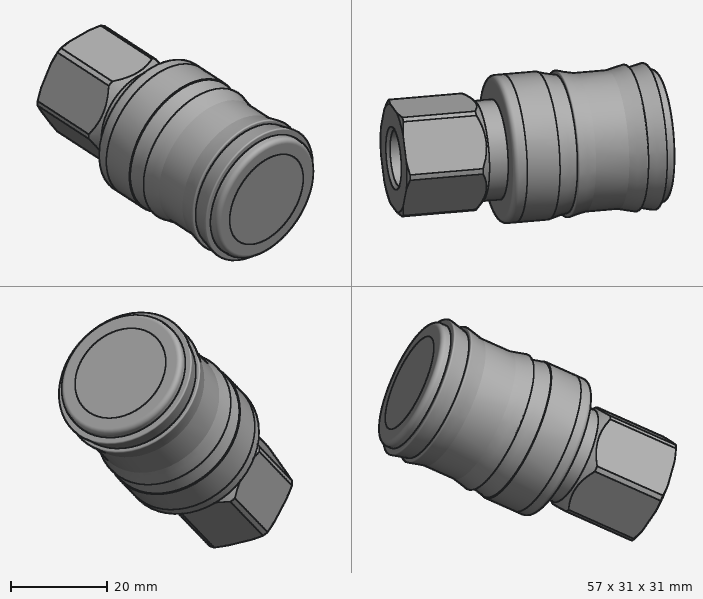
import cadquery as cq
import math

length = 57.0
shoulder_x = 21.95
collar_x = 24.8
grip_x = 31.8
nose_x = 54.9

across_flats = 21.95
across_corners = 24.7
hex_face_dia = 22.65
hex_face_chamfer = 0.45
stem_dia = 21.0
neck_x = 17.95
bore_dia = 11.8
bore_mouth_dia = 13.2
bore_chamfer = 0.75
bore_depth = neck_x

collar_dia = 31.0
shoulder_fillet = 1.1

grip_dia = 29.0
tooth_dia = 30.9
tooth_pitch = 4.0
tooth_fillet = 0.3

nose_dia = 28.0
nose_fillet = 1.0


def revolve_about_x(points):
    """Solid of revolution about X from a closed outline of (x, radius) points."""
    return cq.Workplane("XY").polyline(points).close().revolve(360, (0, 0, 0), (1, 0, 0))


def make_ring(start_x, end_x, outer_dia):
    """Plain ring that fits on the stem."""
    return (
        cq.Workplane("YZ", origin=(start_x, 0, 0))
        .circle(outer_dia / 2)
        .circle(stem_dia / 2)
        .extrude(end_x - start_x)
    )


def make_hexagon():
    """Hexagon with a flat on top, its corners turned down and both ends chamfered."""
    circumscribed_dia = across_flats / math.cos(math.pi / 6)
    hexagon = cq.Workplane("YZ").polygon(6, circumscribed_dia).extrude(neck_x)
    corner_radius = across_corners / 2
    stem_radius = stem_dia / 2
    rear_chamfer = corner_radius - stem_radius
    turned_blank = revolve_about_x(
        [
            (0, 0),
            (0, hex_face_dia / 2),
            (hex_face_chamfer, corner_radius),
            (neck_x - rear_chamfer, corner_radius),
            (neck_x, stem_radius),
            (neck_x, 0),
        ]
    )
    return hexagon.intersect(turned_blank)


def make_adapter():
    """Hexagon and the stem that carries the rings, with a blind bore."""
    stem = cq.Workplane("YZ", origin=(neck_x, 0, 0)).circle(stem_dia / 2).extrude(length - neck_x)
    bore = revolve_about_x(
        [
            (0, 0),
            (0, bore_mouth_dia / 2),
            (bore_chamfer, bore_dia / 2),
            (bore_depth, bore_dia / 2),
            (bore_depth, 0),
        ]
    )
    return make_hexagon().union(stem).cut(bore)


def make_shoulder_ring():
    """Ring behind the neck with a rounded outer edge."""
    ring = make_ring(shoulder_x, collar_x, collar_dia)
    front_rim = cq.selectors.RadiusNthSelector(-1)
    return ring.faces("<X").edges(front_rim).fillet(shoulder_fillet)


def make_collar():
    return make_ring(collar_x, grip_x, collar_dia)


def make_grip_sleeve():
    """Waisted sleeve with two round-tipped saw teeth at each end, symmetric about its middle."""
    tooth_radius = tooth_dia / 2
    grip_radius = grip_dia / 2
    bore_radius = stem_dia / 2
    front_half = []
    for tooth in range(2):
        tooth_x = grip_x + tooth * tooth_pitch
        front_half.append((tooth_x, tooth_radius))
        front_half.append((tooth_x + tooth_pitch, grip_radius))
    rear_half = [(grip_x + nose_x - x, radius) for x, radius in reversed(front_half)]
    sleeve = revolve_about_x(
        [(grip_x, bore_radius)] + front_half + rear_half + [(nose_x, bore_radius)]
    )
    tooth_tips = cq.selectors.RadiusNthSelector(-1)
    return sleeve.edges(tooth_tips).fillet(tooth_fillet)


def make_nose_ring():
    """End ring with a rounded outer edge."""
    ring = make_ring(nose_x, length, nose_dia)
    end_rim = cq.selectors.RadiusNthSelector(-1)
    return ring.faces(">X").edges(end_rim).fillet(nose_fillet)


adapter = make_adapter()
shoulder_ring = make_shoulder_ring()
collar = make_collar()
grip_sleeve = make_grip_sleeve()
nose_ring = make_nose_ring()

result = cq.Compound.makeCompound(
    [adapter.val(), shoulder_ring.val(), collar.val(), grip_sleeve.val(), nose_ring.val()]
)